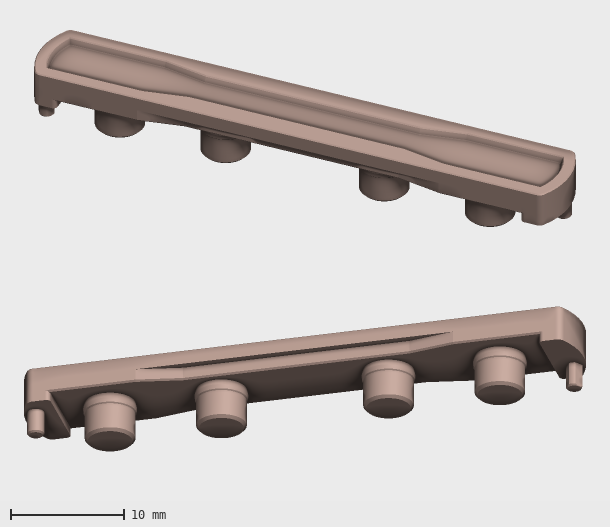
import cadquery as cq
import math

length = 50.8
width = 7.6
end_radius = 6.9
corner_radius = 0.7
edge_chamfer = 0.1
bottom_chamfer = 0.15

beam_depth = 2.5
foot_depth = 3.3
pin_depth = 5.55
boss_depth = 6.15

foot_inner_x = 22.3
foot_corner_radius = 0.4

pocket_depth = 0.65
pocket_end_x = 24.4
pocket_half_width = 2.65
pocket_draft = 0.4
pocket_chamfer = 0.1

waist_narrowing = 0.75
waist_outer_x = 14.5
waist_inner_x = 10.3
waist_top_depth = 1.3

boss_xs = (-17.8, -7.6, 7.6, 17.8)
boss_radius = 2.25
neck_radius = 2.3
bead_radius = 2.4
bead_crest_depth = 3.0
bead_end_radius = 2.35
bead_end_depth = 3.4
boss_chamfer = 0.25

pin_x = 24.15
pin_y = 1.65
pin_radius = 0.75
pin_chamfer = 0.15
diamond_land = 0.6

select_margin = 0.05


def cap_start_x(end_x, half_width, cap_radius):
    """X where the straight sides meet an end arc whose crown lies at end_x."""
    return end_x - cap_radius + math.sqrt(cap_radius**2 - half_width**2)


def bar_outline():
    """Straight-sided outline whose two ends are shallow arcs."""
    end_x = length / 2
    half_width = width / 2
    side_x = cap_start_x(end_x, half_width, end_radius)
    return (
        cq.Workplane("XY")
        .moveTo(-side_x, -half_width)
        .lineTo(side_x, -half_width)
        .threePointArc((end_x, 0), (side_x, half_width))
        .lineTo(-side_x, half_width)
        .threePointArc((-end_x, 0), (-side_x, -half_width))
        .close()
    )


def make_beam():
    """Bar with rounded ends, its underside raised between the two feet."""
    bar = bar_outline().extrude(-foot_depth)
    bar = bar.edges("|Z").fillet(corner_radius)
    bar = bar.faces(">Z").edges().chamfer(edge_chamfer)
    gap = (
        cq.Workplane("XY", origin=(0, 0, -foot_depth))
        .rect(2 * foot_inner_x, width)
        .extrude(foot_depth - beam_depth)
    )
    bar = bar.cut(gap)
    inner_foot_corners = cq.selectors.BoxSelector(
        (-foot_inner_x - select_margin, -width, -foot_depth),
        (foot_inner_x + select_margin, width, -beam_depth),
    )
    return bar.edges("|Z").edges(inner_foot_corners).fillet(foot_corner_radius)


def waisted_half(half_width, end_x, side):
    """Points along one side of a waisted outline, from -X to +X."""
    waist = half_width - waist_narrowing
    return [
        (-end_x, side * half_width),
        (-waist_outer_x, side * half_width),
        (-waist_inner_x, side * waist),
        (waist_inner_x, side * waist),
        (waist_outer_x, side * half_width),
        (end_x, side * half_width),
    ]


def pocket_outline(inset, depth):
    """Waisted outline with arc ends, shrunk inward by inset at the given depth."""
    half_width = pocket_half_width - inset
    end_x = pocket_end_x - inset
    cap_radius = end_radius - (length / 2 - end_x)
    side_x = cap_start_x(end_x, half_width, cap_radius)
    upper = waisted_half(half_width, side_x, 1)
    return (
        cq.Workplane("XY", origin=(0, 0, -depth))
        .polyline(waisted_half(half_width, side_x, -1))
        .threePointArc((end_x, 0), upper[-1])
        .polyline(upper[::-1], includeCurrent=False)
        .threePointArc((-end_x, 0), (-side_x, -half_width))
        .close()
    )


def make_pocket():
    """Drafted pocket with a chamfered rim and a chamfered foot of the wall."""
    sections = [
        pocket_outline(0, 0),
        pocket_outline(pocket_chamfer, pocket_chamfer),
        pocket_outline(pocket_draft - pocket_chamfer, pocket_depth - pocket_chamfer),
        pocket_outline(pocket_draft, pocket_depth),
    ]
    return cq.Workplane(cq.Solid.makeLoft([section.val() for section in sections], True))


def make_side_relief(side):
    """Trapezoid taken out of the lower part of one long side."""
    outer = side * width / 2
    inner = outer - side * waist_narrowing
    return (
        cq.Workplane("XY", origin=(0, 0, -beam_depth))
        .polyline([
            (-waist_outer_x, outer),
            (-waist_inner_x, inner),
            (waist_inner_x, inner),
            (waist_outer_x, outer),
        ])
        .close()
        .extrude(beam_depth - waist_top_depth)
    )


def chamfer_bottom_edges(body):
    """Break the long lower edges of the beam between the feet."""
    nearest_y = width / 2 - waist_narrowing - select_margin
    farthest_y = width / 2 + select_margin
    for side in (-1, 1):
        long_edges = cq.selectors.BoxSelector(
            (-foot_inner_x, side * nearest_y, -beam_depth - select_margin),
            (foot_inner_x, side * farthest_y, -beam_depth + select_margin),
        )
        body = body.edges(long_edges).chamfer(bottom_chamfer)
    return body


def make_boss(x):
    """Round boss with a bead around its root and a chamfered tip."""
    profile = [
        (0, -beam_depth),
        (neck_radius, -beam_depth),
        (bead_radius, -bead_crest_depth),
        (bead_end_radius, -bead_end_depth),
        (boss_radius, -bead_end_depth - bead_end_radius + boss_radius),
        (boss_radius, -boss_depth + boss_chamfer),
        (boss_radius - boss_chamfer, -boss_depth),
        (0, -boss_depth),
    ]
    boss = cq.Workplane("XZ").polyline(profile).close().revolve(360, (0, 0), (0, 1))
    return boss.translate((x, 0, 0))


def make_pin(x, y):
    """Round pin with a chamfered tip, hanging from the underside of a foot."""
    return (
        cq.Workplane("XY", origin=(x, y, -foot_depth))
        .circle(pin_radius)
        .extrude(foot_depth - pin_depth)
        .faces("<Z")
        .chamfer(pin_chamfer)
    )


def make_diamond_pin(x, y):
    """Round pin cut by a rhombus, leaving narrow round lands facing +Y and -Y."""
    land = diamond_land / 2
    land_y = math.sqrt(pin_radius**2 - land**2)
    tip_y = land_y * pin_radius / (pin_radius - land)
    rhombus = (
        cq.Workplane("XY", origin=(x, y, -foot_depth))
        .polyline([(pin_radius, 0), (0, tip_y), (-pin_radius, 0), (0, -tip_y)])
        .close()
        .extrude(foot_depth - pin_depth)
    )
    return make_pin(x, y).intersect(rhombus)


result = make_beam().cut(make_pocket())
for side in (-1, 1):
    result = result.cut(make_side_relief(side))
result = chamfer_bottom_edges(result)
for boss_x in boss_xs:
    result = result.union(make_boss(boss_x))
result = result.union(make_diamond_pin(-pin_x, -pin_y))
result = result.union(make_pin(pin_x, pin_y))